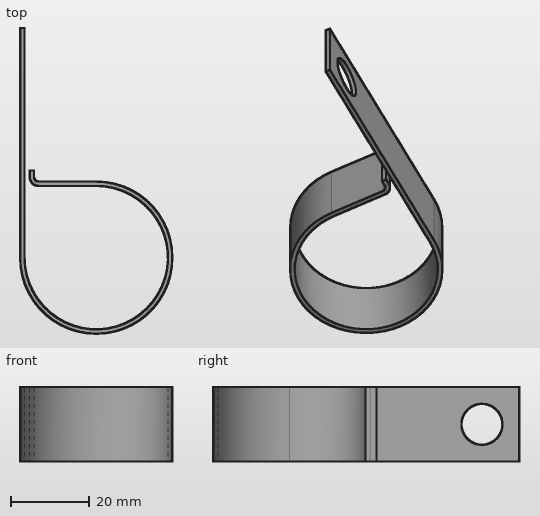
import cadquery as cq

strip_width = 19.1
thickness = 1.2
outer_radius = 19.5
total_length = 78.2
inner_radius = outer_radius - thickness
long_leg_length = total_length - outer_radius

lip_outer_x = -17.05
lip_end_y = 22.3
bend_inner_radius = thickness
bend_outer_radius = bend_inner_radius + thickness
lip_inner_x = lip_outer_x + thickness
bend_x = lip_outer_x + bend_outer_radius
bend_y = inner_radius + bend_outer_radius

hole_diameter = 10.4
hole_end_distance = strip_width / 2


def make_strip():
    """Bent strip: long leg, three-quarter loop, short leg and lip."""
    profile = (
        cq.Workplane("XY")
        .moveTo(-outer_radius, long_leg_length)
        .lineTo(-outer_radius, 0)
        .threePointArc((0, -outer_radius), (outer_radius, 0))
        .radiusArc((0, outer_radius), -outer_radius)
        .lineTo(bend_x, outer_radius)
        .radiusArc((lip_inner_x, bend_y), bend_inner_radius)
        .lineTo(lip_inner_x, lip_end_y)
        .lineTo(lip_outer_x, lip_end_y)
        .lineTo(lip_outer_x, bend_y)
        .radiusArc((bend_x, inner_radius), -bend_outer_radius)
        .lineTo(0, inner_radius)
        .radiusArc((inner_radius, 0), inner_radius)
        .threePointArc((0, -inner_radius), (-inner_radius, 0))
        .lineTo(-inner_radius, long_leg_length)
        .close()
    )
    return profile.extrude(strip_width)


def make_hole_cutter():
    """Cylinder along X that passes through the long leg only."""
    return (
        cq.Workplane("YZ", origin=(-outer_radius - thickness, 0, 0))
        .center(long_leg_length - hole_end_distance, strip_width / 2)
        .circle(hole_diameter / 2)
        .extrude(3 * thickness)
    )


result = make_strip().cut(make_hole_cutter())